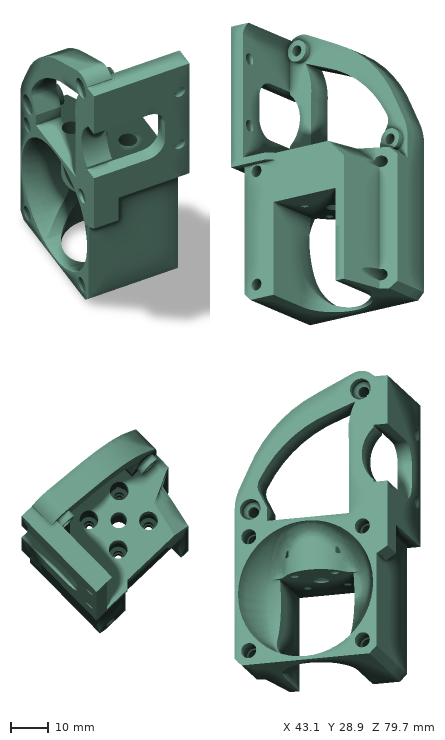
import cadquery as cq

fan_size = 40.0
body_depth = 27.0
corner_chamfer = 2.0
plate_depth = 7.5
overall_width = 43.1
overall_height = 79.7
overall_depth = 28.9
fan_center = fan_size / 2

fan_hole_margin = 4.0
fan_hole_bore = 4.2
fan_hole_bore_depth = 5.0
fan_hole_diameter = 3.3

dome_radius = 19.05
dome_depth = 12.75
column_y = 13.6
column_radius = 10.35
column_bottom = 26.2
column_root_fillet = 3.2
throat_corner_radius = 8.0

side_start_y = 12.1
side_knee = (4.3, 14.35)
side_lower_end_x = 6.9
side_upper_knee = (9.9, 17.0)
side_upper_end_x = 12.1
side_slope_bottom = 35.0

top_hole_half_pitch = 5.65
top_bore_diameter = 5.0
top_bore_bottom = 31.1
top_step_diameter = 2.8
top_step_bottom = 28.7
top_hole_diameter = 2.1
filament_diameter = 4.4

frame_window_left = 9.2
frame_window_right = 32.2
upper_boss = (35.5, 74.6)
lower_boss = (4.4, 43.7)
boss_outer_diameter = 6.0
boss_bore_diameter = 5.8
boss_hole_diameter = 3.0
boss_height = 2.0
boss_bore_depth = 3.0
boss_clearance_radius = 3.7

arm_foot = (0, 44.15)
arm_bend_middle = (0.3, 46.85)
arm_bend_end = (1.2, 49.5)
arm_outer_start = (4.0, 55.3)
arm_outer_middle = (11.6, 66.6)
arm_outer_end = (23.1, 74.5)
arm_cap_start = (33.3, 79.2)
arm_cap_end = (39.2, 78.0)
arm_inner_corner = ((6.7, 48.7), (6.5, 50.45), (7.1, 51.95))
arm_inner_middle = (15.0, 61.8)
arm_inner_end = (27.0, 68.7)
window_tip = (34.0, 71.25)
window_right_middle = (32.35, 66.4)
window_right_arc_bottom = 61.0

flange_thickness = 4.0
flange_left = overall_width - flange_thickness
flange_bottom = 38.0
flange_top = 77.8
foot_left = 29.65
foot_chamfer = overall_depth - body_depth
flange_roof_left = 37.0
flange_hole_diameter = 3.3
flange_hole_y = 25.9
flange_hole_heights = (49.7, 68.6)
opening_bottom = 48.1
opening_top = 64.15
opening_rear = 21.4
opening_radius = 5.0
notch_radius = 9.7
notch_center_x = 45.6
plate_ear_bottom_inner = 28.0
plate_ear_bottom_outer = 29.9


def front_plane(y):
    """Plane at depth y whose local axes are X and Z; negative extrusions run toward +Y."""
    return cq.Workplane(cq.Plane(origin=(0, y, 0), xDir=(1, 0, 0), normal=(0, -1, 0)))


def rod_along_y(center, diameter, y_start, y_end):
    return front_plane(y_start).center(*center).circle(diameter / 2).extrude(y_start - y_end)


def rod_along_z(x, y, diameter, z_start, z_end):
    base = cq.Workplane("XY", origin=(x, y, z_start))
    return base.circle(diameter / 2).extrude(z_end - z_start)


def box(x_range, y_range, z_range):
    spans = [high - low for low, high in (x_range, y_range, z_range)]
    return cq.Workplane("XY", origin=(x_range[0], y_range[0], z_range[0])).box(*spans, centered=False)


def make_body():
    """Square fan housing with the left rear cut away along slanted faces."""
    body = box((0, fan_size), (0, body_depth), (0, fan_size))
    body = body.edges("|Y").edges("<Z").chamfer(corner_chamfer)
    corner = front_plane(plate_depth).polyline(
        [(0, fan_size - corner_chamfer), (0, fan_size), (corner_chamfer, fan_size)]
    ).close().extrude(plate_depth - body_depth)

    lower_cut = cq.Workplane("XY").polyline(
        [(0, side_start_y), side_knee, (side_lower_end_x, body_depth), (0, body_depth)]
    ).close().extrude(fan_size)

    shoulder_run = side_upper_end_x - side_lower_end_x
    slope_base = cq.Workplane("XY", origin=(0, 0, side_slope_bottom))
    lean = (side_upper_end_x - side_upper_knee[0]) / (body_depth - side_upper_knee[1])
    slope_front_x = side_upper_end_x - lean * body_depth

    def slope_outline(workplane, shift):
        return workplane.polyline([
            (-fan_size, 0),
            (slope_front_x - shift, 0),
            (side_upper_end_x - shift, body_depth),
            (-fan_size, body_depth),
        ]).close()

    slope = slope_outline(slope_base, shoulder_run).workplane(offset=fan_size - side_slope_bottom)
    slope = slope_outline(slope, 0).loft(ruled=True)
    behind_wall = cq.Workplane("XY").polyline(
        [(0, side_start_y), side_upper_knee, (side_upper_end_x, body_depth), (0, body_depth)]
    ).close().extrude(fan_size)
    return body.cut(corner).cut(lower_cut).cut(slope.intersect(behind_wall))


def make_frame():
    """Curved arm and upright that continue the front plate above the body."""
    overlap = fan_size - corner_chamfer
    outline = (
        front_plane(0)
        .moveTo(0, overlap)
        .lineTo(*arm_foot)
        .threePointArc(arm_bend_middle, arm_bend_end)
        .lineTo(*arm_outer_start)
        .threePointArc(arm_outer_middle, arm_outer_end)
        .lineTo(*arm_cap_start)
        .threePointArc((upper_boss[0], overall_height), arm_cap_end)
        .lineTo(arm_cap_end[0], flange_top)
        .lineTo(overall_width, flange_top)
        .lineTo(overall_width, plate_ear_bottom_outer)
        .lineTo(fan_size, plate_ear_bottom_inner)
        .lineTo(overlap, plate_ear_bottom_inner)
        .lineTo(overlap, overlap)
        .close()
        .extrude(-plate_depth)
    )
    window = (
        front_plane(0)
        .moveTo(frame_window_left, fan_size)
        .lineTo(frame_window_left, lower_boss[1])
        .lineTo(*arm_inner_corner[0])
        .threePointArc(*arm_inner_corner[1:])
        .threePointArc(arm_inner_middle, arm_inner_end)
        .lineTo(*window_tip)
        .threePointArc(window_right_middle, (frame_window_right, window_right_arc_bottom))
        .lineTo(frame_window_right, fan_size)
        .close()
        .extrude(-plate_depth)
    )
    return outline.cut(window)


def make_flange():
    """Upright side wall with an overhanging roof and a chamfered foot behind the body."""
    wall = box((flange_roof_left, overall_width), (0, overall_depth), (upper_boss[1], flange_top))
    wall = wall.union(box((flange_left, overall_width), (0, overall_depth), (flange_bottom, flange_top)))
    clearance = rod_along_y(upper_boss, 2 * boss_clearance_radius, plate_depth, overall_depth)
    foot = cq.Workplane("XY", origin=(0, 0, flange_bottom)).polyline([
        (foot_left, body_depth),
        (foot_left + foot_chamfer, overall_depth),
        (overall_width, overall_depth),
        (overall_width, body_depth),
    ]).close().extrude(fan_size - flange_bottom)
    return wall.cut(clearance).union(foot)


def make_bosses():
    bosses = cq.Workplane("XY")
    for center in (upper_boss, lower_boss):
        bosses = bosses.add(rod_along_y(center, boss_outer_diameter, 0, plate_depth + boss_height))
    return bosses.combine()


def cut_flange_openings(part):
    opening = box((flange_left, overall_width), (0, opening_rear), (opening_bottom, opening_top))
    opening = opening.edges("|X and >Y").fillet(opening_radius)
    notch_center = (notch_center_x, (opening_bottom + opening_top) / 2)
    notch = rod_along_y(notch_center, 2 * notch_radius, 0, plate_depth).intersect(
        box((0, overall_width), (0, plate_depth), (opening_bottom, opening_top))
    )
    part = part.cut(opening).cut(notch)
    for height in flange_hole_heights:
        hole = cq.Workplane("YZ", origin=(flange_left, flange_hole_y, height))
        part = part.cut(hole.circle(flange_hole_diameter / 2).extrude(flange_thickness))
    return part


def make_dome():
    """Half ellipsoid opening on the front face, flared around the hanging column."""
    dome = (
        cq.Workplane("XY")
        .moveTo(0, 0)
        .lineTo(dome_radius, 0)
        .ellipseArc(dome_radius, dome_depth, 0, 90, startAtCurrent=True)
        .close()
        .revolve(360, (0, 0, 0), (0, 1, 0))
        .translate((fan_center, 0, fan_center))
    )
    column = rod_along_z(fan_center, column_y, 2 * column_radius, column_bottom, fan_size)
    dome = dome.cut(column)
    column_root = dome.edges(cq.selectors.BoxSelector(
        (0, 0, column_bottom + column_root_fillet), (fan_size, dome_depth, fan_size)
    ))
    return column_root.fillet(column_root_fillet)


def make_slot():
    """Hot end clearance open to the bottom and rear, with a throat that widens it into the dome."""
    across = (fan_center - column_radius, fan_center + column_radius)
    slot = rod_along_z(fan_center, column_y, 2 * column_radius, 0, column_bottom)
    slot = slot.union(box(across, (column_y, body_depth), (0, column_bottom)))
    throat = box(across, (0, column_y), (fan_center - dome_radius, column_bottom))
    throat = throat.edges("|Y and <Z").fillet(throat_corner_radius)
    fan_bore = rod_along_y((fan_center, fan_center), 2 * dome_radius, 0, column_y)
    return slot.union(throat.intersect(fan_bore))


def cut_fan_holes(part):
    for x in (fan_hole_margin, fan_size - fan_hole_margin):
        for z in (fan_hole_margin, fan_size - fan_hole_margin):
            part = part.cut(rod_along_y((x, z), fan_hole_bore, 0, fan_hole_bore_depth))
            part = part.cut(rod_along_y((x, z), fan_hole_diameter, 0, overall_depth))
    return part


def cut_boss_holes(part):
    for center in (upper_boss, lower_boss):
        part = part.cut(rod_along_y(center, boss_bore_diameter, 0, boss_bore_depth))
        part = part.cut(rod_along_y(center, boss_hole_diameter, 0, plate_depth + boss_height))
    return part


def cut_top_holes(part):
    part = part.cut(rod_along_z(fan_center, column_y, filament_diameter, 0, fan_size))
    for side_x in (-1, 1):
        for side_y in (-1, 1):
            x = fan_center + side_x * top_hole_half_pitch
            y = column_y + side_y * top_hole_half_pitch
            part = part.cut(rod_along_z(x, y, top_bore_diameter, top_bore_bottom, fan_size))
            part = part.cut(rod_along_z(x, y, top_step_diameter, top_step_bottom, fan_size))
            part = part.cut(rod_along_z(x, y, top_hole_diameter, 0, fan_size))
    return part


result = make_body().union(make_frame()).union(make_flange()).union(make_bosses())
result = cut_flange_openings(result)
result = result.cut(make_dome()).cut(make_slot())
result = cut_fan_holes(result)
result = cut_boss_holes(result)
result = cut_top_holes(result)